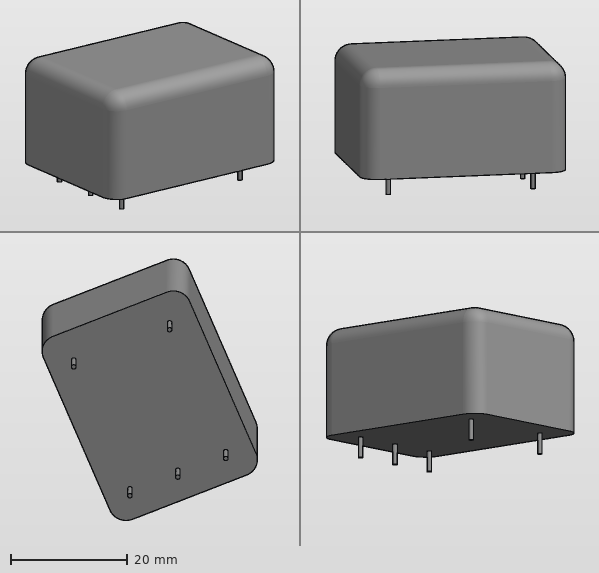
import cadquery as cq

housing_width = 27.2
housing_length = 36.1
housing_height = 19.02
edge_radius = 3.0

pin_diameter = 0.8
pin_length = 3.57
pin_offset_x = 8.9
pin_offset_y = 12.7
pin_positions = [
    (-pin_offset_x, -pin_offset_y),
    (0, -pin_offset_y),
    (pin_offset_x, -pin_offset_y),
    (-pin_offset_x, pin_offset_y),
    (pin_offset_x, pin_offset_y),
]


def make_housing():
    block = cq.Workplane("XY").box(
        housing_width, housing_length, housing_height, centered=(True, True, False)
    )
    return block.edges("|Z or >Z").fillet(edge_radius)


def make_pin(x, y):
    """Round pin hanging from the underside of the housing."""
    return cq.Workplane("XY").center(x, y).circle(pin_diameter / 2).extrude(-pin_length)


housing = make_housing()
pins = [make_pin(x, y) for x, y in pin_positions]

result = cq.Compound.makeCompound([housing.val(), *[pin.val() for pin in pins]])